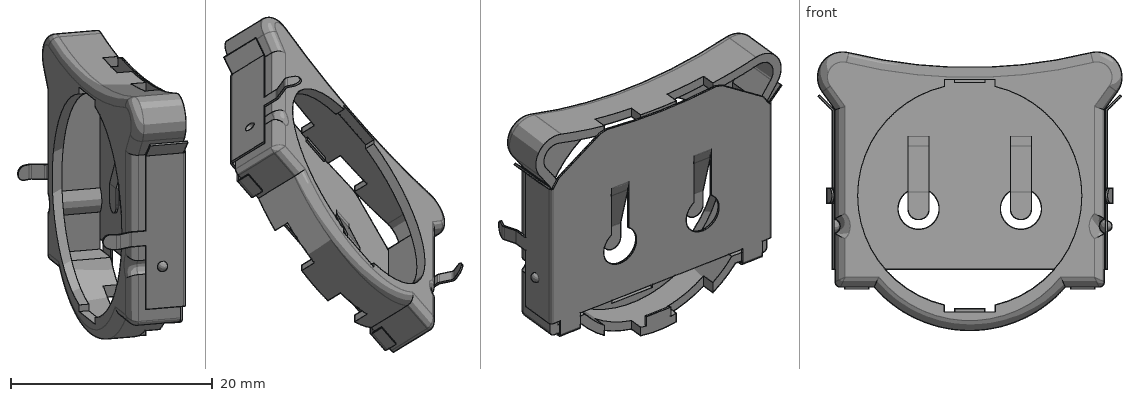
import cadquery as cq
import math


overall_width = 30.2
housing_depth = 5.4
wall = 1.0
front_round = 1.0
side_x = 13.35
bottom_z = -9.05
corner_round = 0.5

horn_radius = 2.5
horn_top_z = 14.25
horn_x = overall_width / 2 - horn_radius
horn_z = horn_top_z - horn_radius
neck_z = 8.5
top_middle_z = 12.7

lower_arc_bottom_z = -13.37
lower_arc_radius = 12.55
lower_arc_z = lower_arc_bottom_z + lower_arc_radius

groove_x = 13.6
groove_z = -3.02
groove_radius = 0.75

opening_radius = 11.1
opening_slot_half_width = 2.5
opening_slot_half_height = 11.5

rim_notch_inner_x = 2.2
rim_notch_outer_x = 6.67
rim_notch_depth = 1.55

lip_half_width = 1.5
lip_half_gap = 11.2
lip_thickness = 0.2

sheet = 0.2
clip_front_y = 0.3
clip_back_y = clip_front_y + sheet
bend_radius = 0.3

wing_x = 13.65
wing_front_y = -3.7
wing_back_y = clip_back_y - bend_radius
wing_top_z = 8.45
wing_bottom_z = -7.3
flare_rise = 1.4

terminal_width = 1.5
terminal_bend_y = -5.35
terminal_knee_y = -6.75
terminal_tip_y = -8.18
terminal_kick = 0.57
terminal_bend_radius = 0.57

dimple_clearance = 0.03
dimple_radius = groove_radius - dimple_clearance
dimple_rim_round = 0.1
dimple_y = -2.0

plate_middle_top_z = 12.62
plate_peak_x = 6.7
plate_peak_z = 12.98
plate_shoulder_x = 7.5
plate_shoulder_z = 12.8
plate_ear_x = 12.6
plate_ear_z = 9.55

leg_inner_x = 10.0
leg_outer_x = 12.4
tab_front_y = -0.9

finger_x = 5.07
finger_width = 2.1
finger_root_z = 5.85
finger_bend_z = 4.92
finger_knee_z = 0.35
finger_tip_z = -2.4
finger_reach_y = -1.05
window_hole_z = -1.3
window_hole_radius = 2.02


def block(x_min, x_max, y_min, y_max, z_min, z_max):
    """Axis-aligned box given by its limits."""
    return (
        cq.Workplane("XY")
        .box(x_max - x_min, y_max - y_min, z_max - z_min, centered=False)
        .translate((x_min, y_min, z_min))
    )


def both_sides(shape):
    """The shape together with its mirror image across X = 0."""
    return shape.union(shape.mirror("YZ"))


def housing_outline():
    """Closed outer outline, starting along the top edge and running clockwise from the front."""
    rise = top_middle_z - horn_z
    top_radius = (horn_x**2 + rise**2 - horn_radius**2) / (2 * (horn_radius - rise))
    top_arc_z = top_middle_z + top_radius
    to_top = math.atan2(top_arc_z - horn_z, -horn_x)
    to_neck = math.atan2(neck_z - horn_z, side_x - horn_x)
    to_flank = to_neck + math.acos(horn_radius / math.hypot(side_x - horn_x, neck_z - horn_z))

    def on_horn(angle):
        return horn_x + horn_radius * math.cos(angle), horn_z + horn_radius * math.sin(angle)

    horn_start = on_horn(to_top)
    horn_middle = on_horn((to_top + to_flank) / 2)
    horn_end = on_horn(to_flank)

    groove_half = math.sqrt(groove_radius**2 - (groove_x - side_x)**2)
    shoulder_x = math.sqrt(lower_arc_radius**2 - (bottom_z - lower_arc_z)**2)

    def left(point):
        return -point[0], point[1]

    return (
        cq.Workplane("XZ")
        .moveTo(*left(horn_start))
        .threePointArc((0, top_middle_z), horn_start)
        .threePointArc(horn_middle, horn_end)
        .lineTo(side_x, neck_z)
        .lineTo(side_x, groove_z + groove_half)
        .threePointArc((groove_x - groove_radius, groove_z), (side_x, groove_z - groove_half))
        .lineTo(side_x, bottom_z)
        .lineTo(shoulder_x, bottom_z)
        .threePointArc((0, lower_arc_bottom_z), (-shoulder_x, bottom_z))
        .lineTo(-side_x, bottom_z)
        .lineTo(-side_x, groove_z - groove_half)
        .threePointArc((groove_radius - groove_x, groove_z), (-side_x, groove_z + groove_half))
        .lineTo(-side_x, neck_z)
        .lineTo(*left(horn_end))
        .threePointArc(left(horn_middle), left(horn_start))
        .close()
    )


def battery_opening():
    """Round opening through the front wall, with a slot at its top and bottom."""
    disc = cq.Workplane("XZ").circle(opening_radius).extrude(housing_depth)
    slot = block(
        -opening_slot_half_width, opening_slot_half_width,
        -housing_depth, wall - housing_depth,
        -opening_slot_half_height, opening_slot_half_height,
    )
    return disc.union(slot)


def rim_notches():
    """Notches through the back rim of the top and bottom walls."""
    top = block(rim_notch_inner_x, rim_notch_outer_x, -rim_notch_depth, 0, -bottom_z, horn_top_z)
    bottom = block(rim_notch_inner_x, rim_notch_outer_x, -rim_notch_depth, 0, -horn_top_z, bottom_z)
    return both_sides(top.union(bottom))


def retaining_lips():
    """Thin lips on the back rim, reaching inward from the top and bottom walls."""
    top = block(-lip_half_width, lip_half_width, -lip_thickness, 0, lip_half_gap, top_middle_z - wall / 2)
    bottom = block(
        -lip_half_width, lip_half_width, -lip_thickness, 0, lower_arc_bottom_z + wall / 2, -lip_half_gap
    )
    return top.union(bottom)


def make_housing():
    body = housing_outline().extrude(housing_depth)
    body = body.faces("<Y").edges().fillet(front_round)
    body = body.edges("|Y").edges("<Z").edges("<X or >X").fillet(corner_round)
    cavity = housing_outline().offset2D(-wall, "intersection").extrude(housing_depth - wall)
    return body.cut(cavity).cut(battery_opening()).cut(rim_notches()).union(retaining_lips())


def bent_sheet(plane, points):
    """Closed profile of a bent sheet: the points trace one face, the metal lies to their left."""
    normals = []
    for (x0, y0), (x1, y1) in zip(points, points[1:]):
        length = math.hypot(x1 - x0, y1 - y0)
        normals.append(((y0 - y1) / length, (x1 - x0) / length))
    far_side = []
    for i, (x, y) in enumerate(points):
        ax, ay = normals[max(i - 1, 0)]
        bx, by = normals[min(i, len(normals) - 1)]
        reach = sheet / (1 + ax * bx + ay * by)
        far_side.append((x + (ax + bx) * reach, y + (ay + by) * reach))
    return cq.Workplane(plane).polyline(points + far_side[::-1]).close()


def back_plate():
    """Flat plate behind the housing, with a keyhole window for each finger."""
    plate_x = wing_x - bend_radius
    plate = (
        cq.Workplane("XZ", origin=(0, clip_back_y, 0))
        .moveTo(-plate_x, wing_bottom_z)
        .lineTo(-plate_x, wing_top_z)
        .lineTo(-plate_ear_x, plate_ear_z)
        .lineTo(-plate_shoulder_x, plate_shoulder_z)
        .lineTo(-plate_peak_x, plate_peak_z)
        .threePointArc((0, plate_middle_top_z), (plate_peak_x, plate_peak_z))
        .lineTo(plate_shoulder_x, plate_shoulder_z)
        .lineTo(plate_ear_x, plate_ear_z)
        .lineTo(plate_x, wing_top_z)
        .lineTo(plate_x, wing_bottom_z)
        .close()
        .extrude(sheet)
    )
    slot = block(
        finger_x - finger_width / 2, finger_x + finger_width / 2,
        clip_front_y, clip_back_y, window_hole_z, finger_root_z,
    )
    hole = (
        cq.Workplane("XZ", origin=(finger_x, clip_back_y, window_hole_z))
        .circle(window_hole_radius)
        .extrude(sheet)
    )
    return plate.cut(both_sides(slot.union(hole)))


def folded_sheet(plane, corner, first_end, second_end):
    """Right-angle fold profile from its outer corner: one leg along each axis of the plane."""
    u, v = corner
    to_u = math.copysign(1, first_end - u)
    to_v = math.copysign(1, second_end - v)
    centre_u = u + to_u * bend_radius
    centre_v = v + to_v * bend_radius
    outer = bend_radius * math.sqrt(0.5)
    inner = (bend_radius - sheet) * math.sqrt(0.5)
    return (
        cq.Workplane(plane)
        .moveTo(first_end, v)
        .lineTo(centre_u, v)
        .threePointArc((centre_u - to_u * outer, centre_v - to_v * outer), (u, centre_v))
        .lineTo(u, second_end)
        .lineTo(u + to_u * sheet, second_end)
        .lineTo(u + to_u * sheet, centre_v)
        .threePointArc((centre_u - to_u * inner, centre_v - to_v * inner), (centre_u, v + to_v * sheet))
        .lineTo(first_end, v + to_v * sheet)
        .close()
    )


def wing():
    """Right wing: folded forward from the plate, flared at the top."""
    side = (
        folded_sheet("XY", (wing_x, clip_back_y), leg_outer_x, wing_front_y)
        .extrude(wing_top_z - wing_bottom_z)
        .translate((0, 0, wing_bottom_z))
    )
    flare = (
        bent_sheet("XZ", [
            (wing_x, wing_bottom_z),
            (wing_x, wing_top_z),
            (wing_x + flare_rise, wing_top_z + flare_rise),
        ])
        .extrude(wing_back_y - wing_front_y)
        .translate((0, wing_back_y, 0))
    )
    return side.union(flare)


def add_dimple(body):
    """Spherical dimple pressed inward from the right wing into the housing groove."""
    centre = (groove_x, dimple_y, groove_z)
    inner_side = block(0, groove_x, -housing_depth, 0, wing_bottom_z, wing_top_z)
    bump = cq.Workplane("XY").sphere(dimple_radius).translate(centre).intersect(inner_side)
    hollow = cq.Workplane("XY").sphere(dimple_radius - sheet).translate(centre)
    dimpled = body.union(bump).cut(hollow)
    rim = cq.selectors.NearestToPointSelector((wing_x, dimple_y, groove_z))
    return dimpled.edges("%CIRCLE").edges(rim).fillet(dimple_rim_round)


def terminal():
    """Right solder terminal: a kinked strip with a rounded tip."""
    inner_x = wing_x - sheet
    knee_x = inner_x + terminal_kick
    inside_radius = terminal_bend_radius - sheet
    kinked = (
        bent_sheet("XY", [
            (inner_x, wing_front_y),
            (inner_x, terminal_bend_y),
            (knee_x, terminal_knee_y),
            (inner_x, terminal_tip_y),
        ])
        .extrude(terminal_width / 2, both=True)
    )
    bends = (
        (inner_x, terminal_bend_y, terminal_bend_radius),
        (wing_x, terminal_bend_y, inside_radius),
        (knee_x, terminal_knee_y, inside_radius),
        (knee_x + sheet, terminal_knee_y, terminal_bend_radius),
    )
    for x, y, radius in bends:
        corner = cq.selectors.NearestToPointSelector((x, y, 0))
        kinked = kinked.edges("|Z").edges(corner).fillet(radius)
    tip_outline = (
        cq.Workplane("YZ")
        .moveTo(wing_front_y, -terminal_width / 2)
        .lineTo(terminal_tip_y + terminal_width / 2, -terminal_width / 2)
        .threePointArc((terminal_tip_y, 0), (terminal_tip_y + terminal_width / 2, terminal_width / 2))
        .lineTo(wing_front_y, terminal_width / 2)
        .close()
        .extrude(overall_width)
    )
    return kinked.intersect(tip_outline)


def leg():
    """Right leg: runs down from the plate and folds forward under the housing shoulder."""
    return (
        folded_sheet("YZ", (clip_back_y, bottom_z - sheet), tab_front_y, wing_bottom_z)
        .extrude(leg_outer_x - leg_inner_x)
        .translate((leg_inner_x, 0, 0))
    )


def finger():
    """Right contact finger: curves forward from the plate and ends in a flat rounded pad."""
    half_width = finger_width / 2
    curve_z = (finger_root_z + finger_bend_z) / 2
    slope = math.atan2(clip_front_y - finger_reach_y, curve_z - finger_knee_z)
    front_radius = (finger_root_z - curve_z) / math.tan(slope / 2)
    blade = (
        bent_sheet("YZ", [
            (clip_front_y, finger_root_z + sheet),
            (clip_front_y, curve_z),
            (finger_reach_y, finger_knee_z),
            (finger_reach_y, finger_tip_z),
        ])
        .extrude(half_width, both=True)
    )
    for y, radius in ((clip_front_y, front_radius), (clip_back_y, front_radius + sheet)):
        corner = cq.selectors.NearestToPointSelector((0, y, curve_z))
        blade = blade.edges("|X").edges(corner).fillet(radius)
    outline = (
        cq.Workplane("XZ", origin=(0, clip_back_y, 0))
        .moveTo(-half_width, finger_root_z + sheet)
        .lineTo(-half_width, finger_tip_z + half_width)
        .threePointArc((0, finger_tip_z), (half_width, finger_tip_z + half_width))
        .lineTo(half_width, finger_root_z + sheet)
        .close()
        .extrude(housing_depth)
    )
    return blade.intersect(outline).translate((finger_x, 0, 0))


def make_clip():
    half = add_dimple(wing()).union(terminal()).union(leg()).union(finger())
    return back_plate().union(both_sides(half))


housing = make_housing()
clip = make_clip()
result = cq.Compound.makeCompound([housing.val(), clip.val()])